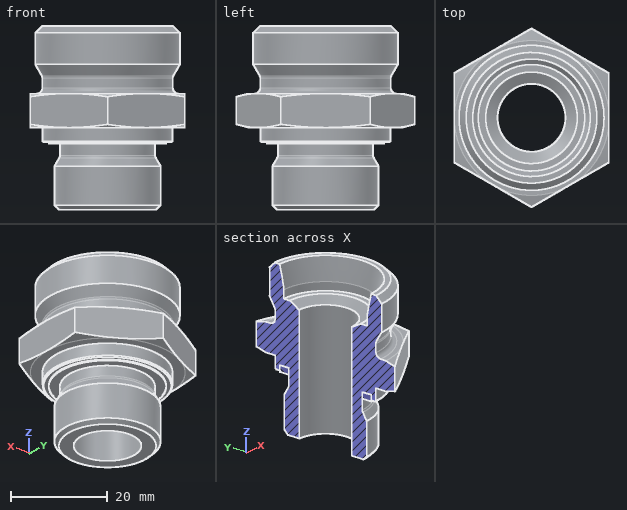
import cadquery as cq
import math

TOTAL_HEIGHT = 38.0

HEX_ACROSS_FLATS = 32.0
HEX_BOTTOM_Z = 17.0
HEX_TOP_Z = 24.0
HEX_CHAMFER_ANGLE = 15.0

STUD_DIAMETER = 22.0
STUD_CHAMFER = 0.95
STUD_SHOULDER_Z = 9.0
STUD_NECK_DIAMETER = 19.7

COLLAR_DIAMETER = 26.9
COLLAR_BOTTOM_Z = 13.9
COLLAR_CHAMFER = 0.25
SEAL_DIAMETER = 24.3
SEAL_THICKNESS = 1.5
SEAL_PROTRUSION = 0.25

SOCKET_DIAMETER = 30.0
SOCKET_CHAMFER = 1.5
SOCKET_SHOULDER_Z = 30.05
SOCKET_NECK_DIAMETER = 27.0
NECK_BASE_FILLET = 1.18

RUNOUT_ANGLE = 30.0
RUNOUT_RADIUS = 1.0

BORE_DIAMETER = 14.0
TUBE_DIAMETER = 22.0
TUBE_STOP_DEPTH = 7.5
MOUTH_DIAMETER = 24.3
MOUTH_HALF_ANGLE = 12.0
COUNTERSINK_DIAMETER = 18.92
COUNTERSINK_HALF_ANGLE = 60.0


def tangent(degrees):
    return math.tan(math.radians(degrees))


def runout_points(shoulder_radius, shoulder_z, neck_radius, direction):
    """Flank end, blend arc midpoint and blend arc end; direction is +1 if the neck lies above."""
    points = []
    arc_center_radius = neck_radius + RUNOUT_RADIUS
    flank_angle = math.radians(RUNOUT_ANGLE)
    flank_end_radius = arc_center_radius - RUNOUT_RADIUS * math.cos(flank_angle)
    flank_length = (shoulder_radius - flank_end_radius) / math.tan(flank_angle)
    neck_z = shoulder_z + direction * (flank_length + RUNOUT_RADIUS * math.sin(flank_angle))
    for angle in (flank_angle, flank_angle / 2, 0):
        radius = arc_center_radius - RUNOUT_RADIUS * math.cos(angle)
        points.append((radius, neck_z - direction * RUNOUT_RADIUS * math.sin(angle)))
    return points


def revolve_profile(profile):
    """Close an (r, z) outline and turn it about the Z axis."""
    return profile.close().revolve(360, (0, 0, 0), (0, 1, 0))


def make_stud():
    radius = STUD_DIAMETER / 2
    neck_radius = STUD_NECK_DIAMETER / 2
    collar_radius = COLLAR_DIAMETER / 2
    flank_end, arc_middle, arc_end = runout_points(radius, STUD_SHOULDER_Z, neck_radius, 1)
    profile = (
        cq.Workplane("XZ")
        .lineTo(radius - STUD_CHAMFER, 0)
        .lineTo(radius, STUD_CHAMFER)
        .lineTo(radius, STUD_SHOULDER_Z)
        .lineTo(*flank_end)
        .threePointArc(arc_middle, arc_end)
        .lineTo(neck_radius, COLLAR_BOTTOM_Z)
        .lineTo(collar_radius - COLLAR_CHAMFER, COLLAR_BOTTOM_Z)
        .lineTo(collar_radius, COLLAR_BOTTOM_Z + COLLAR_CHAMFER)
        .lineTo(collar_radius, HEX_BOTTOM_Z)
        .lineTo(0, HEX_BOTTOM_Z)
    )
    return revolve_profile(profile)


def make_socket_end():
    radius = SOCKET_DIAMETER / 2
    neck_radius = SOCKET_NECK_DIAMETER / 2
    flank_end, arc_middle, arc_end = runout_points(radius, SOCKET_SHOULDER_Z, neck_radius, -1)
    fillet_offset = NECK_BASE_FILLET * (1 - math.sqrt(0.5))
    profile = (
        cq.Workplane("XZ")
        .moveTo(0, HEX_TOP_Z)
        .lineTo(neck_radius + NECK_BASE_FILLET, HEX_TOP_Z)
        .threePointArc(
            (neck_radius + fillet_offset, HEX_TOP_Z + fillet_offset),
            (neck_radius, HEX_TOP_Z + NECK_BASE_FILLET),
        )
        .lineTo(*arc_end)
        .threePointArc(arc_middle, flank_end)
        .lineTo(radius, SOCKET_SHOULDER_Z)
        .lineTo(radius, TOTAL_HEIGHT - SOCKET_CHAMFER)
        .lineTo(radius - SOCKET_CHAMFER, TOTAL_HEIGHT)
        .lineTo(0, TOTAL_HEIGHT)
    )
    return revolve_profile(profile)


def make_hexagon():
    """Hexagon with flats on +/-X, its corners turned off conically at both ends."""
    flat_radius = HEX_ACROSS_FLATS / 2
    corner_radius = flat_radius / math.cos(math.radians(30))
    chamfer_height = (corner_radius - flat_radius) * tangent(HEX_CHAMFER_ANGLE)
    prism = (
        cq.Workplane("XY", origin=(0, 0, HEX_BOTTOM_Z))
        .transformed(rotate=(0, 0, 30))
        .polygon(6, 2 * corner_radius)
        .extrude(HEX_TOP_Z - HEX_BOTTOM_Z)
    )
    envelope = revolve_profile(
        cq.Workplane("XZ")
        .moveTo(0, HEX_BOTTOM_Z)
        .lineTo(flat_radius, HEX_BOTTOM_Z)
        .lineTo(corner_radius, HEX_BOTTOM_Z + chamfer_height)
        .lineTo(corner_radius, HEX_TOP_Z - chamfer_height)
        .lineTo(flat_radius, HEX_TOP_Z)
        .lineTo(0, HEX_TOP_Z)
    )
    return prism.intersect(envelope)


def make_passage():
    """Through bore, countersink, tube stop and tapered mouth as one cutting solid."""
    bore_radius = BORE_DIAMETER / 2
    tube_radius = TUBE_DIAMETER / 2
    mouth_radius = MOUTH_DIAMETER / 2
    countersink_radius = COUNTERSINK_DIAMETER / 2
    stop_z = TOTAL_HEIGHT - TUBE_STOP_DEPTH
    countersink_depth = (countersink_radius - bore_radius) / tangent(COUNTERSINK_HALF_ANGLE)
    mouth_depth = (mouth_radius - tube_radius) / tangent(MOUTH_HALF_ANGLE)
    profile = (
        cq.Workplane("XZ")
        .lineTo(bore_radius, 0)
        .lineTo(bore_radius, stop_z - countersink_depth)
        .lineTo(countersink_radius, stop_z)
        .lineTo(tube_radius, stop_z)
        .lineTo(tube_radius, TOTAL_HEIGHT - mouth_depth)
        .lineTo(mouth_radius, TOTAL_HEIGHT)
        .lineTo(0, TOTAL_HEIGHT)
    )
    return revolve_profile(profile)


def make_seal():
    """Ring around the stud neck, seated in the collar and standing slightly proud of it."""
    return (
        cq.Workplane("XY", origin=(0, 0, COLLAR_BOTTOM_Z - SEAL_PROTRUSION))
        .circle(SEAL_DIAMETER / 2)
        .circle(STUD_NECK_DIAMETER / 2)
        .extrude(SEAL_THICKNESS)
    )


def make_fitting(seal):
    """One-piece fitting, with a recess matching the seal."""
    blank = make_stud().union(make_hexagon()).union(make_socket_end())
    return blank.cut(make_passage()).cut(seal)


seal_ring = make_seal()
fitting = make_fitting(seal_ring)

result = cq.Compound.makeCompound([fitting.solids().val(), seal_ring.val()])